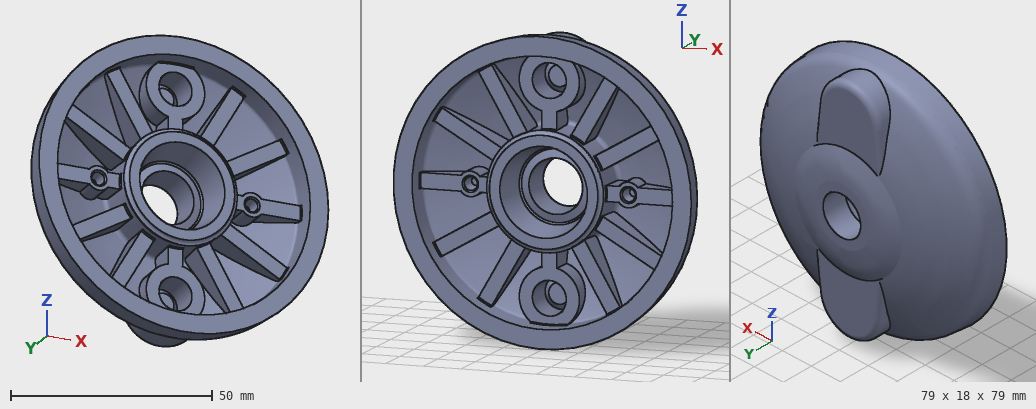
import cadquery as cq
import math


rim_radius = 39.5
rim_depth = 5.0
rim_back_radius = 39.0
shoulder_mid = (38.3, 7.3)
dome_edge = (36.5, 9.0)
dome_mid = (28.2, 13.0)
crown_edge = (18.6, 15.8)
crown_flat_radius = 9.5
total_depth = 18.0

wall_radius = 34.5
wall_floor = (34.1, 6.5)
floor_mid = (24.9, 10.3)
hub_floor = (15.5, 12.9)
cavity_fillet = 0.95

hub_front = 0.95
hub_flat_radius = 14.4
hub_lip = (15.5, 2.0)
hub_neck = (15.1, 2.4)

bore_front_radius = 11.6
bore_end = (9.8, 9.7)
shelf_outer = (9.3, 10.2)
shelf_inner = (7.1, 9.5)
bore_back_radius = 6.5

rib_front = 5.0
rib_width = 4.0
rib_count = 12
rib_lip_width = 0.15
rib_lip_height = 0.6
rib_bury = 1.2

boss_offset = 27.5
boss_back = 15.8
boss_radius = 10.6
boss_half_angle = 6.5
boss_foot = 9.5
boss_fillet = 2.0
pad_radius = 8.0
boss_hole_radius = 4.5
boss_hole_end_radius = 4.35
boss_hole_depth = 8.5
boss_cone_radius = 2.8
boss_cone_height = 1.6

socket_offset = 20.9
socket_radius = 3.2
socket_mouth_radius = 2.1
socket_hole_radius = 1.7
socket_end_radius = 1.1
socket_chamfer_depth = 0.4
socket_depth = 3.95


def revolve_about_axis(profile):
    """Turn a closed (radius, depth) outline into a solid of revolution about Y."""
    return profile.close().revolve(360, (0, 0, 0), (0, 1, 0))


def plane_at(depth):
    """Sketch plane facing +Y at a depth, with its x along +X and its y along -Z."""
    return cq.Workplane(cq.Plane((0, depth, 0), (1, 0, 0), (0, 1, 0)))


def outer_shell():
    profile = (
        cq.Workplane("XY")
        .lineTo(rim_radius, 0)
        .lineTo(rim_back_radius, rim_depth)
        .threePointArc(shoulder_mid, dome_edge)
        .threePointArc(dome_mid, crown_edge)
    )
    crown_run = crown_edge[0] - crown_flat_radius
    crown_drop = total_depth - crown_edge[1]
    crown_arc_radius = (crown_run**2 + crown_drop**2) / (2 * crown_drop)
    profile = profile.radiusArc((crown_flat_radius, total_depth), -crown_arc_radius).lineTo(0, total_depth)
    return revolve_about_axis(profile)


def back_boss():
    """Round-ended boss behind the dome whose sides spread towards the crown."""
    angle = math.radians(boss_half_angle)
    tangent_x = boss_radius * math.cos(angle)
    tangent_z = boss_offset + boss_radius * math.sin(angle)
    foot_x = tangent_x + (tangent_z - boss_foot) * math.tan(angle)
    return (
        plane_at(rim_depth)
        .moveTo(-foot_x, -boss_foot)
        .lineTo(-tangent_x, -tangent_z)
        .threePointArc((0, -boss_offset - boss_radius), (tangent_x, -tangent_z))
        .lineTo(foot_x, -boss_foot)
        .close()
        .extrude(boss_back - rim_depth)
        .faces(">Y")
        .edges()
        .fillet(boss_fillet)
    )


def cavity():
    """Everything removed from the open face: the ring around the hub and the gap in front of the hub."""
    profile = (
        cq.Workplane("XY")
        .lineTo(wall_radius, 0)
        .lineTo(*wall_floor)
        .threePointArc(floor_mid, hub_floor)
        .lineTo(*hub_neck)
        .lineTo(*hub_lip)
        .radiusArc((hub_flat_radius, hub_front), -(hub_lip[0] - hub_flat_radius))
        .lineTo(0, hub_front)
    )
    ring = revolve_about_axis(profile)
    floor_corners = ring.edges().filter(lambda edge: edge.IsClosed() and edge.Center().y > rim_depth)
    return floor_corners.fillet(cavity_fillet)


def radius_at(depth, start, end):
    """Radius at a depth on the straight line between two (radius, depth) points."""
    return start[0] + (end[0] - start[0]) * (depth - start[1]) / (end[1] - start[1])


def rib_envelope():
    """Ring that bounds the ribs: flat front, small lips up the hub and the wall, buried behind the floor."""
    hub_radius = radius_at(rib_front, hub_neck, hub_floor)
    outer_radius = radius_at(rib_front, (wall_radius, 0), wall_floor)
    crest = rib_front - rib_lip_height
    profile = (
        cq.Workplane("XY")
        .moveTo(hub_radius - rib_bury, crest)
        .lineTo(hub_radius, crest)
        .lineTo(hub_radius + rib_lip_width, rib_front)
        .lineTo(outer_radius - rib_lip_width, rib_front)
        .lineTo(outer_radius, crest)
        .lineTo(outer_radius + rib_bury, crest)
        .lineTo(wall_floor[0] + rib_bury, wall_floor[1] + rib_bury)
        .lineTo(floor_mid[0], floor_mid[1] + rib_bury)
        .lineTo(hub_radius - rib_bury, hub_floor[1] + rib_bury)
    )
    return revolve_about_axis(profile)


def rib_bars():
    """Twelve radial bars with the boss pads and socket posts, before trimming to the envelope."""
    bars = plane_at(0).circle(pad_radius).extrude(total_depth).translate((0, 0, boss_offset))
    bars = bars.union(bars.mirror("XY"))
    posts = plane_at(0).pushPoints([(-socket_offset, 0), (socket_offset, 0)]).circle(socket_radius)
    bars = bars.union(posts.extrude(total_depth))
    for index in range(rib_count // 2):
        bar = plane_at(0).rect(2 * rim_radius, rib_width).extrude(total_depth)
        bars = bars.union(bar.rotate((0, 0, 0), (0, 1, 0), index * 360 / rib_count))
    return bars


def centre_bore():
    profile = (
        cq.Workplane("XY")
        .moveTo(0, hub_front)
        .lineTo(bore_front_radius, hub_front)
        .lineTo(*bore_end)
        .lineTo(*shelf_outer)
        .lineTo(*shelf_inner)
        .lineTo(bore_back_radius, total_depth)
        .lineTo(0, total_depth)
    )
    return revolve_about_axis(profile)


def boss_hole():
    """Blind hole with a blunt cone standing on its bottom."""
    profile = (
        cq.Workplane("XY")
        .lineTo(boss_hole_radius, 0)
        .lineTo(boss_hole_end_radius, boss_hole_depth)
        .lineTo(boss_cone_radius, boss_hole_depth - boss_cone_height)
        .lineTo(0, boss_hole_depth - boss_cone_height)
    )
    return revolve_about_axis(profile).translate((0, rib_front, boss_offset))


def socket_hole():
    profile = (
        cq.Workplane("XY")
        .lineTo(socket_mouth_radius, 0)
        .lineTo(socket_hole_radius, socket_chamfer_depth)
        .lineTo(socket_end_radius, socket_depth)
        .lineTo(0, socket_depth)
    )
    return revolve_about_axis(profile).translate((socket_offset, rib_front, 0))


boss = back_boss()
body = outer_shell().union(boss).union(boss.mirror("XY"))
body = body.cut(cavity())
body = body.union(rib_bars().intersect(rib_envelope()))
body = body.cut(centre_bore())
for hole, side in ((boss_hole(), "XY"), (socket_hole(), "YZ")):
    body = body.cut(hole).cut(hole.mirror(side))

result = body